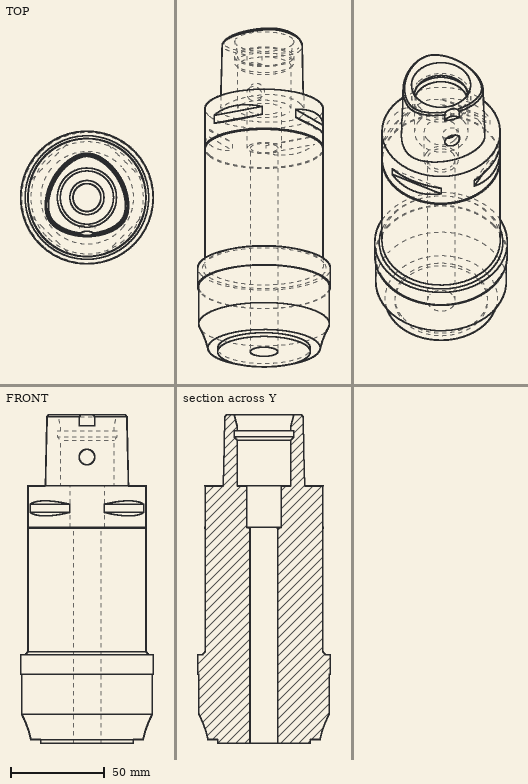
import cadquery as cq
import math

total_height = 175.0
shoulder_z = 137.0
flange_height = 22.0
cone_top_z = 48.8
collar_top_z = 47.2
collar_bottom_z = 36.8
nose_taper_top_z = 15.5
lip_height = 2.1

body_radius = 31.5
cone_base_radius = 32.9
collar_radius = 35.4
nose_radius = 34.8
nose_taper_mid_radius = 31.8
nose_end_radius = 30.0
lip_radius = 24.7

parting_width = 0.5
parting_depth = 0.2

shank_base_radius = 22.2
shank_top_radius = 21.4
lobe_height = 1.4
shank_chamfer_height = 1.2
shank_chamfer_inset = 0.9
profile_points = 72

mouth_radius = 15.8
socket_radius = 14.2
mouth_depth = 6.3
undercut_radius = 15.8
undercut_start = 8.5
undercut_cone_start = 11.9
undercut_end = 13.6
step_radius = 9.1
through_radius = 7.4
step_floor_z = shoulder_z - flange_height

slot_count = 4
slot_floor_distance = 27.8
slot_center_z = 125.1
slot_floor_width = 4.4
slot_mouth_width = 8.0

notch_radius = 5.5
notch_center_y = -23.3
notch_depth = 6.0
side_hole_radius = 4.11
side_hole_z = 152.5
side_hole_floor_y = -14.9


def make_body():
    """Revolve the round body, from the nose lip up to the shoulder."""
    parting_z = shoulder_z - flange_height
    groove_radius = body_radius - parting_depth
    taper_mid_z = (lip_height + nose_taper_top_z) / 2
    profile = (
        cq.Workplane("XZ")
        .lineTo(lip_radius, 0)
        .lineTo(lip_radius, lip_height)
        .lineTo(nose_end_radius, lip_height)
        .threePointArc((nose_taper_mid_radius, taper_mid_z), (nose_radius, nose_taper_top_z))
        .lineTo(nose_radius, collar_bottom_z)
        .lineTo(collar_radius, collar_bottom_z)
        .lineTo(collar_radius, collar_top_z)
        .lineTo(cone_base_radius, collar_top_z)
        .lineTo(body_radius, cone_top_z)
        .lineTo(body_radius, parting_z - parting_width)
        .lineTo(groove_radius, parting_z - parting_width)
        .lineTo(groove_radius, parting_z)
        .lineTo(body_radius, parting_z)
        .lineTo(body_radius, shoulder_z)
        .lineTo(0, shoulder_z)
        .close()
    )
    return profile.revolve(360, (0, 0, 0), (0, 1, 0))


def lobed_wire(mean_radius, z):
    """Return a constant-width three-lobed outline with one lobe toward +Y."""
    points = []
    for i in range(profile_points):
        angle = 2 * math.pi * i / profile_points
        along = mean_radius + lobe_height * math.cos(3 * angle)
        across = -3 * lobe_height * math.sin(3 * angle)
        x = -along * math.sin(angle) - across * math.cos(angle)
        y = along * math.cos(angle) - across * math.sin(angle)
        points.append(cq.Vector(x, y, z))
    return cq.Wire.assembleEdges([cq.Edge.makeSpline(points, periodic=True)])


def make_shank():
    """Loft the tapered shank and its chamfered top edge."""
    chamfer_z = total_height - shank_chamfer_height
    base = lobed_wire(shank_base_radius, shoulder_z)
    upper = lobed_wire(shank_top_radius, chamfer_z)
    top = lobed_wire(shank_top_radius - shank_chamfer_inset, total_height)
    taper = cq.Solid.makeLoft([base, upper], True)
    chamfer = cq.Solid.makeLoft([upper, top], True)
    return cq.Workplane(taper).union(cq.Workplane(chamfer))


def make_bore():
    """Revolve the stepped bore with its conical mouth and undercut."""
    profile = (
        cq.Workplane("XZ")
        .lineTo(through_radius, 0)
        .lineTo(through_radius, step_floor_z)
        .lineTo(step_radius, step_floor_z)
        .lineTo(step_radius, shoulder_z)
        .lineTo(socket_radius, shoulder_z)
        .lineTo(socket_radius, total_height - undercut_end)
        .lineTo(undercut_radius, total_height - undercut_cone_start)
        .lineTo(undercut_radius, total_height - undercut_start)
        .lineTo(socket_radius, total_height - undercut_start)
        .lineTo(socket_radius, total_height - mouth_depth)
        .lineTo(mouth_radius, total_height)
        .lineTo(0, total_height)
        .close()
    )
    return profile.revolve(360, (0, 0, 0), (0, 1, 0))


def make_gripper_slot():
    """Return a slot cutter on the +X side, widening outward from its flat floor."""
    floor_half = slot_floor_width / 2
    mouth_half = slot_mouth_width / 2
    return (
        cq.Workplane("XZ")
        .moveTo(slot_floor_distance, slot_center_z - floor_half)
        .lineTo(body_radius, slot_center_z - mouth_half)
        .lineTo(body_radius, slot_center_z + mouth_half)
        .lineTo(slot_floor_distance, slot_center_z + floor_half)
        .close()
        .extrude(body_radius, both=True)
    )


def make_notch():
    """Return the upright round cutter for the key notch."""
    return (
        cq.Workplane("XY")
        .workplane(offset=total_height - notch_depth)
        .center(0, notch_center_y)
        .circle(notch_radius)
        .extrude(notch_depth)
    )


def make_side_hole():
    """Return the cutter for the flat-bottomed hole on the -Y side, which stops short of the bore."""
    return (
        cq.Workplane("XZ", origin=(0, side_hole_floor_y, 0))
        .center(0, side_hole_z)
        .circle(side_hole_radius)
        .extrude(body_radius)
    )


result = make_body().union(make_shank()).cut(make_bore())

slot_spacing = 360 / slot_count
for slot_index in range(slot_count):
    slot_angle = (slot_index + 0.5) * slot_spacing
    result = result.cut(make_gripper_slot().rotate((0, 0, 0), (0, 0, 1), slot_angle))

result = result.cut(make_notch()).cut(make_side_hole())